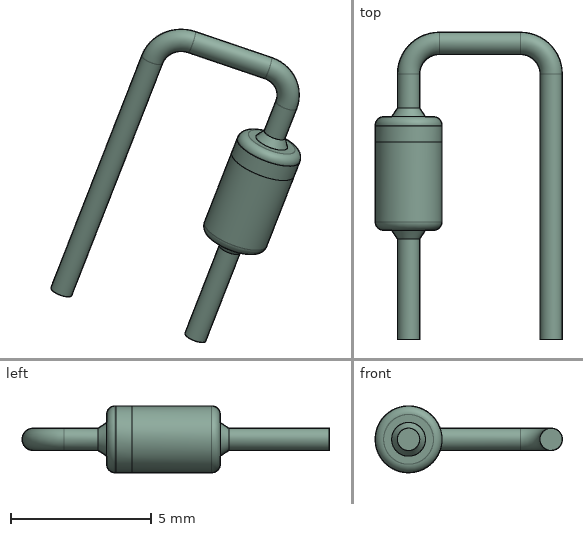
import cadquery as cq

total_length = 10.94
lead_pitch = 5.08

lead_diameter = 0.8
lead_radius = lead_diameter / 2
bend_radius = 1.09

housing_front = 3.88
housing_length = 4.05
housing_back = housing_front + housing_length
housing_radius = 1.19
edge_radius = 0.31
collar_length = 0.31
collar_base_radius = 0.6

band_edge_gap = 0.02
band_width = 0.58
band_depth = 0.05
band_back = housing_back - edge_radius - band_edge_gap
band_front = band_back - band_width

collar_front = housing_front - collar_length
collar_back = housing_back + collar_length
crossbar_y = total_length - lead_radius
bend_start_y = crossbar_y - bend_radius


def cylinder_along_y(radius, start, length):
    """Cylinder on the housing axis, growing toward +Y from start."""
    return cq.Workplane("XZ", origin=(0, start, 0)).circle(radius).extrude(-length)


def make_band():
    """Thin ring around the back end of the housing."""
    outer = cylinder_along_y(housing_radius, band_front, band_width)
    inner = cylinder_along_y(housing_radius - band_depth, band_front, band_width)
    return outer.cut(inner)


def make_housing(band):
    """Rounded cylinder with a conical collar at each end and a recess for the band."""
    barrel = cylinder_along_y(housing_radius, housing_front, housing_length)
    barrel = barrel.edges("%CIRCLE").fillet(edge_radius)
    collars = (
        cq.Workplane("XY")
        .moveTo(0, collar_front)
        .lineTo(lead_radius, collar_front)
        .lineTo(collar_base_radius, housing_front)
        .lineTo(collar_base_radius, housing_back)
        .lineTo(lead_radius, collar_back)
        .lineTo(0, collar_back)
        .close()
        .revolve(360, (0, 0, 0), (0, 1, 0))
    )
    return barrel.union(collars).cut(band)


def make_straight_lead():
    """Short lead from the front collar to the lead tip."""
    return cylinder_along_y(lead_radius, 0, collar_front)


def make_bent_lead():
    """Lead from the back collar, bent twice to return beside the housing."""
    path = (
        cq.Workplane("XY")
        .moveTo(0, collar_back)
        .lineTo(0, bend_start_y)
        .radiusArc((bend_radius, crossbar_y), bend_radius)
        .lineTo(lead_pitch - bend_radius, crossbar_y)
        .radiusArc((lead_pitch, bend_start_y), bend_radius)
        .lineTo(lead_pitch, 0)
    )
    return cq.Workplane("XZ", origin=(0, collar_back, 0)).circle(lead_radius).sweep(path)


band = make_band()
housing = make_housing(band)
straight_lead = make_straight_lead()
bent_lead = make_bent_lead()

result = cq.Compound.makeCompound(
    [housing.val(), band.val(), straight_lead.val(), bent_lead.val()]
)